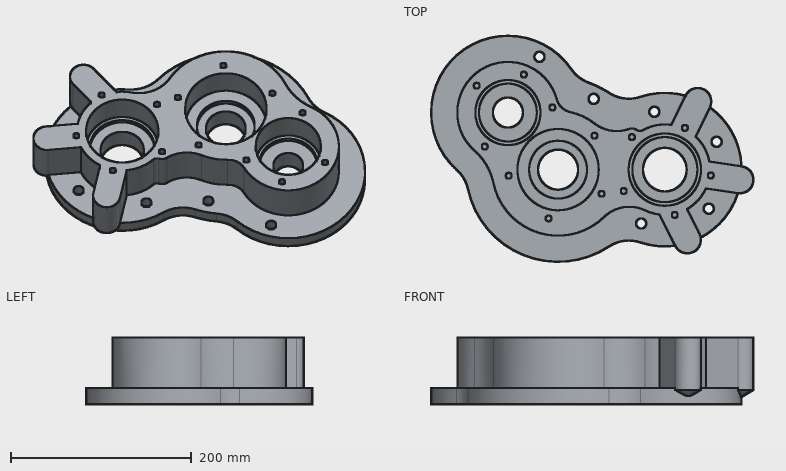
import cadquery as cq
import math

TOTAL_HEIGHT = 74.0
FLANGE_THICKNESS = 18.0

FIRST_AXIS = (-55.46, 63.1)
MIDDLE_AXIS = (0.0, 0.0)
END_AXIS = (118.0, 0.0)

FLANGE_RADIUS_FIRST = 85.0
FLANGE_RADIUS_MIDDLE = 102.0
FLANGE_RADIUS_END = 85.0
FLANGE_FILLET = 40.0
BODY_RADIUS_FIRST = 56.0
BODY_RADIUS_MIDDLE_REAR = 65.0
BODY_RADIUS_MIDDLE_FRONT = 73.0
BODY_RADIUS_END = 50.0
BODY_FILLET_FIRST_FRONT = 65.0
BODY_FILLET_FIRST_REAR = 20.0
BODY_FILLET_END = 40.0
SCREW_BULGE_RADIUS = 9.5
SCREW_BULGE_FILLET = 6.0

BEARING_BORES = [
    (FIRST_AXIS, [(72.0, 39.0), (64.0, 44.0)], 33.0),
    (MIDDLE_AXIS, [(90.0, 39.0), (64.0, 45.0)], 44.0),
    (END_AXIS, [(80.0, 39.0), (72.0, 44.0)], 48.0),
]

COVER_SCREW_DIAMETER = 6.6
COVER_SCREW_DEPTH = 20.0
END_PITCH_RADIUS = 51.2
BULGE_SCREW_ANGLE = 135.3
ARM_SCREW_ANGLES = [64.3, -7.2, -77.6]
COVER_SCREWS = [
    (FIRST_AXIS, 45.5, [67.3, 139.3, 235.8]),
    (FIRST_AXIS, 49.5, [6.5]),
    (MIDDLE_AXIS, 55.0, [43.0, 187.0, 259.0, 331.0]),
    (END_AXIS, END_PITCH_RADIUS, [BULGE_SCREW_ANGLE, 207.5] + ARM_SCREW_ANGLES),
]

FLANGE_HOLE_DIAMETER = 11.0
FLANGE_HOLES = [
    (FIRST_AXIS, 70.8, [60.5]),
    (MIDDLE_AXIS, 87.6, [63.3]),
    (END_AXIS, 65.0, [28.3, 100.3, 246.3, 318.4]),
]

ARM_WIDTH = 30.0
ARM_BOTTOM = 16.0
ARM_CONE_ANGLE = 118.0
ARM_INNER_RUN = 10.0
ARM_END_OFFSETS = [(36.4, 75.4), (83.02, -11.2), (24.9, -77.6)]


def polar_point(centre, radius, angle):
    """Point at a radius and an angle in degrees from a centre."""
    turn = math.radians(angle)
    return (centre[0] + radius * math.cos(turn), centre[1] + radius * math.sin(turn))


def point_towards(start, target, distance):
    """Point at a distance from start in the direction of target."""
    share = distance / math.dist(start, target)
    return (start[0] + (target[0] - start[0]) * share, start[1] + (target[1] - start[1]) * share)


def fillet_centre(centre_a, radius_a, centre_b, radius_b, fillet):
    """Centre of the arc touching two circles from outside, on the left going from a to b."""
    reach_a = radius_a + fillet
    reach_b = radius_b + fillet
    span = math.dist(centre_a, centre_b)
    along = (reach_a**2 - reach_b**2 + span**2) / (2 * span)
    across = math.sqrt(reach_a**2 - along**2)
    ux = (centre_b[0] - centre_a[0]) / span
    uy = (centre_b[1] - centre_a[1]) / span
    return (centre_a[0] + along * ux - across * uy, centre_a[1] + along * uy + across * ux)


def lobed_plate(lobes, thickness):
    """Plate bounded clockwise by lobes (centre, radius, fillet to the next lobe)."""
    joints = []
    for index, (centre, radius, fillet) in enumerate(lobes):
        next_centre, next_radius, _ = lobes[(index + 1) % len(lobes)]
        hollow = fillet_centre(centre, radius, next_centre, next_radius, fillet)
        leave = point_towards(centre, hollow, radius)
        arrive = point_towards(next_centre, hollow, next_radius)
        chord_middle = ((leave[0] + arrive[0]) / 2, (leave[1] + arrive[1]) / 2)
        joints.append((leave, point_towards(hollow, chord_middle, fillet), arrive))

    outline = cq.Workplane("XY").moveTo(*joints[-1][2])
    arrive = joints[-1][2]
    for (centre, radius, _), (leave, hollow_middle, next_arrive) in zip(lobes, joints):
        start = math.degrees(math.atan2(arrive[1] - centre[1], arrive[0] - centre[0]))
        end = math.degrees(math.atan2(leave[1] - centre[1], leave[0] - centre[0]))
        sweep = (start - end) % 360
        outline = outline.threePointArc(polar_point(centre, radius, start - sweep / 2), leave)
        outline = outline.threePointArc(hollow_middle, next_arrive)
        arrive = next_arrive
    return outline.close().extrude(thickness)


def make_flange():
    lobes = [
        (FIRST_AXIS, FLANGE_RADIUS_FIRST, FLANGE_FILLET),
        (MIDDLE_AXIS, FLANGE_RADIUS_MIDDLE, FLANGE_FILLET),
        (END_AXIS, FLANGE_RADIUS_END, FLANGE_FILLET),
        (MIDDLE_AXIS, FLANGE_RADIUS_MIDDLE, FLANGE_FILLET),
    ]
    return lobed_plate(lobes, FLANGE_THICKNESS)


def make_body():
    bulge_centre = polar_point(END_AXIS, END_PITCH_RADIUS, BULGE_SCREW_ANGLE)
    lobes = [
        (FIRST_AXIS, BODY_RADIUS_FIRST, BODY_FILLET_FIRST_REAR),
        (MIDDLE_AXIS, BODY_RADIUS_MIDDLE_REAR, BODY_FILLET_END),
        (bulge_centre, SCREW_BULGE_RADIUS, SCREW_BULGE_FILLET),
        (END_AXIS, BODY_RADIUS_END, BODY_FILLET_END),
        (MIDDLE_AXIS, BODY_RADIUS_MIDDLE_FRONT, BODY_FILLET_FIRST_FRONT),
    ]
    return lobed_plate(lobes, TOTAL_HEIGHT)


def make_arm(end_offset, screw_angle):
    """Round-ended arm running from its end centre through its cover screw hole into the body."""
    end_centre = (END_AXIS[0] + end_offset[0], END_AXIS[1] + end_offset[1])
    screw = polar_point(END_AXIS, END_PITCH_RADIUS, screw_angle)
    angle = math.degrees(math.atan2(end_centre[1] - screw[1], end_centre[0] - screw[0]))
    length = math.dist(screw, end_centre) + ARM_INNER_RUN
    half_width = ARM_WIDTH / 2
    height = TOTAL_HEIGHT - ARM_BOTTOM
    cone_depth = half_width / math.tan(math.radians(ARM_CONE_ANGLE / 2))

    bar = (
        cq.Workplane("XY", origin=(0, 0, ARM_BOTTOM))
        .moveTo(-length, -half_width)
        .lineTo(0, -half_width)
        .threePointArc((half_width, 0), (0, half_width))
        .lineTo(-length, half_width)
        .close()
        .extrude(height)
    )
    cone = cq.Workplane(
        cq.Solid.makeCone(0, half_width, cone_depth, pnt=cq.Vector(0, 0, ARM_BOTTOM - cone_depth))
    )
    return bar.union(cone).rotate((0, 0, 0), (0, 0, 1), angle).translate((*end_centre, 0))


def cylinder_from_top(centre, diameter, depth):
    return (
        cq.Workplane("XY", origin=(*centre, TOTAL_HEIGHT - depth))
        .circle(diameter / 2)
        .extrude(depth)
    )


def cut_bearing_bores(part):
    for axis, steps, through_diameter in BEARING_BORES:
        for diameter, depth in steps:
            part = part.cut(cylinder_from_top(axis, diameter, depth))
        part = part.cut(cylinder_from_top(axis, through_diameter, TOTAL_HEIGHT))
    return part


def cut_hole_patterns(part, patterns, diameter, depth):
    """Holes reaching the given depth below the top plane of the part."""
    for axis, pitch_radius, angles in patterns:
        for angle in angles:
            part = part.cut(cylinder_from_top(polar_point(axis, pitch_radius, angle), diameter, depth))
    return part


result = make_flange().union(make_body())
for arm_end_offset, arm_screw_angle in zip(ARM_END_OFFSETS, ARM_SCREW_ANGLES):
    result = result.union(make_arm(arm_end_offset, arm_screw_angle))
result = cut_bearing_bores(result)
result = cut_hole_patterns(result, COVER_SCREWS, COVER_SCREW_DIAMETER, COVER_SCREW_DEPTH)
result = cut_hole_patterns(result, FLANGE_HOLES, FLANGE_HOLE_DIAMETER, TOTAL_HEIGHT)